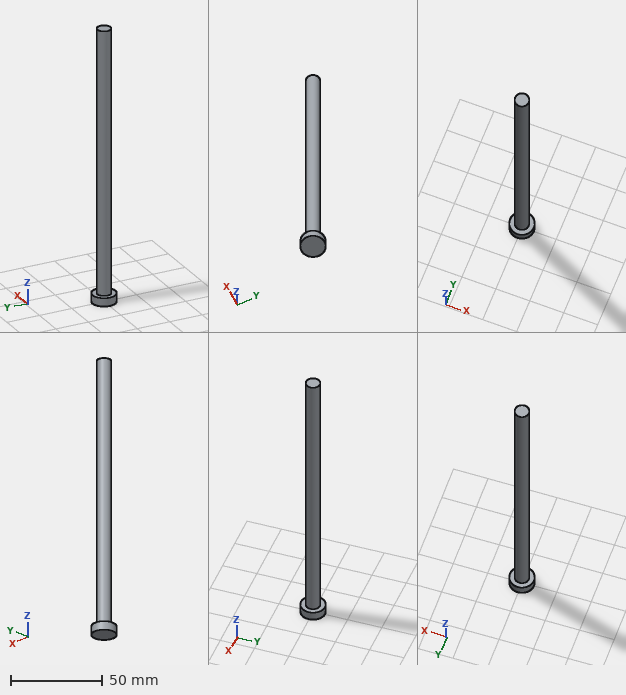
import cadquery as cq

total_length = 165.0
head_diameter = 14.0
head_height = 5.1
shank_diameter = 8.1

head = cq.Workplane("XY").circle(head_diameter / 2).extrude(head_height)
shank = cq.Workplane("XY").circle(shank_diameter / 2).extrude(total_length)

result = head.union(shank)